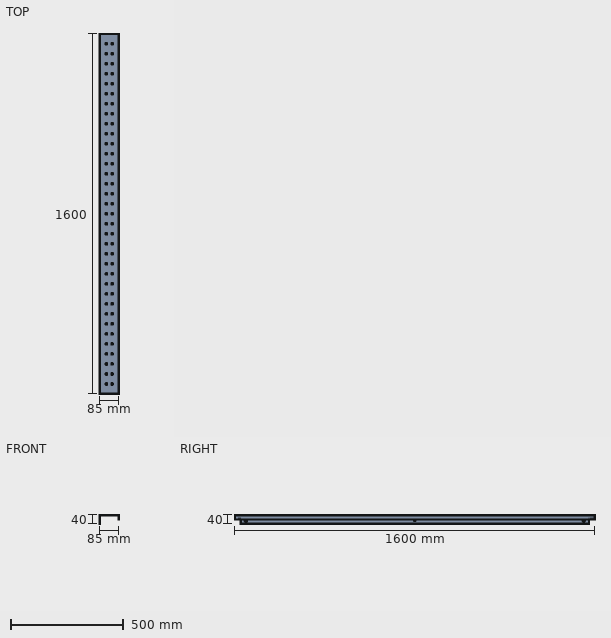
import cadquery as cq

length = 1600.0
width = 85.0
height = 40.0
sheet = 2.0

short_flange = 21.0
end_tab_depth = 15.0
notch_length = 25.0

top_hole_diameter = 5.0
top_hole_columns = 2
top_hole_rows = 35
top_hole_span = 1512.0
top_hole_pitch = top_hole_span / (top_hole_rows - 1)
top_hole_spacing = 25.0

fixing_drop = 24.0
center_hole_diameter = 5.0
end_hole_diameter = 8.5
end_hole_distance = 50.0


def channel():
    """Flat top with a tall flange on -X and a short flange on +X, top face at Z = 0."""
    profile = [
        (-width / 2, 0),
        (width / 2, 0),
        (width / 2, -short_flange),
        (width / 2 - sheet, -short_flange),
        (width / 2 - sheet, -sheet),
        (-width / 2 + sheet, -sheet),
        (-width / 2 + sheet, -height),
        (-width / 2, -height),
    ]
    return cq.Workplane("XZ").polyline(profile).close().extrude(length / 2, both=True)


def end_notches():
    """Blocks that cut the lower corners off both ends of the tall flange."""
    notch_height = height - end_tab_depth
    return (
        cq.Workplane("XY")
        .pushPoints([(-width / 2, side * (length - notch_length) / 2) for side in (-1, 1)])
        .rect(2 * sheet, notch_length)
        .extrude(notch_height)
        .translate((0, 0, -height))
    )


def top_holes():
    """Cutters for the grid of holes through the top."""
    return (
        cq.Workplane("XY")
        .rarray(top_hole_spacing, top_hole_pitch, top_hole_columns, top_hole_rows)
        .circle(top_hole_diameter / 2)
        .extrude(-sheet)
    )


def flange_holes():
    """Cutters for the small middle hole and the two larger end holes of the tall flange."""
    flange_plane = cq.Workplane("YZ", origin=(-width / 2, 0, -fixing_drop))
    end_hole_offset = length / 2 - end_hole_distance
    middle_hole = flange_plane.circle(center_hole_diameter / 2).extrude(sheet)
    end_holes = (
        flange_plane.pushPoints([(-end_hole_offset, 0), (end_hole_offset, 0)])
        .circle(end_hole_diameter / 2)
        .extrude(sheet)
    )
    return middle_hole.union(end_holes)


result = channel().cut(end_notches()).cut(top_holes()).cut(flange_holes())